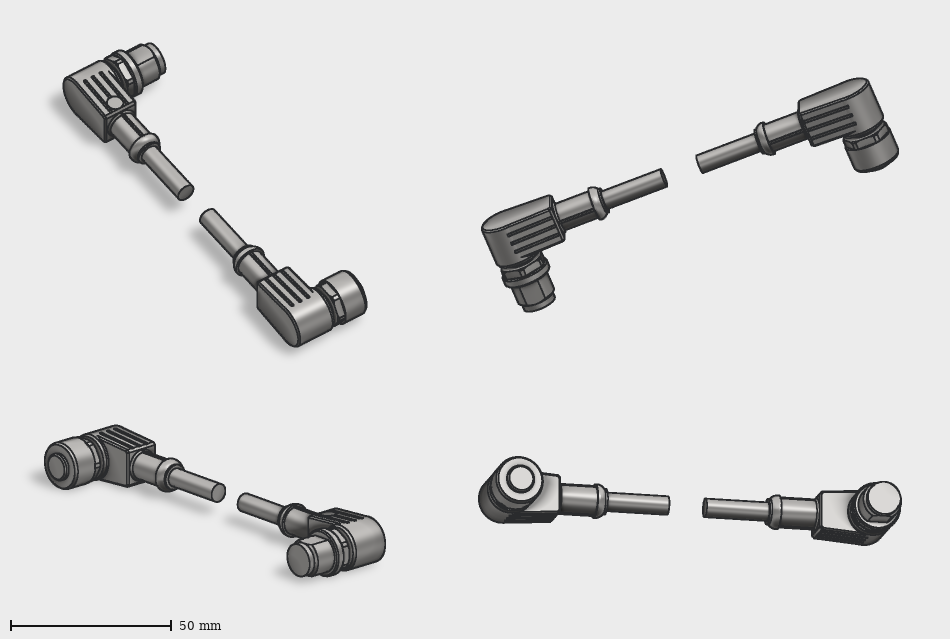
import cadquery as cq
import math


OVERALL_LENGTH = 130.0
OVERALL_DEPTH = 30.3
NUT_RADIUS = 15.0 / 2
CONNECTOR_X = -OVERALL_LENGTH / 2 + NUT_RADIUS
BASE_Y = -OVERALL_DEPTH / 2
CABLE_Y = -9.1

DRUM_RADIUS = 14.7 / 2
DRUM_TOP_Y = -1.5
DRUM_TOP_BEVEL_HEIGHT = 0.9
DRUM_TOP_BEVEL_WIDTH = 0.5
BLOCK_TOP_Y = -3.2
BLOCK_START_OFFSET = 1.5
BLOCK_END_X = -41.3
BLOCK_END_HALF_HEIGHT = 6.1
BLOCK_BEVEL = 0.5
BLOCK_END_BEVEL = 0.8

BLOCK_START_X = CONNECTOR_X + BLOCK_START_OFFSET
BLOCK_START_HALF_HEIGHT = math.sqrt(DRUM_RADIUS**2 - BLOCK_START_OFFSET**2)
BLOCK_TAPER = math.atan2(BLOCK_START_HALF_HEIGHT - BLOCK_END_HALF_HEIGHT, BLOCK_END_X - BLOCK_START_X)

GROOVE_WIDTH = 0.8
GROOVE_DEPTH = 0.3
GROOVE_SPACING = 3.0
GROOVE_START_X = -57.1
GROOVE_END_X = -42.2
MARKER_X = -44.7
MARKER_RADIUS = 5.1 / 2
MARKER_DEPTH = 0.1

CABLE_RADIUS = 5.8 / 2
CABLE_END_X = -6.0
SLEEVE_RADIUS = 4.4
SLEEVE_FLARE = 0.6
COLLAR_RADIUS = 10.5 / 2
COLLAR_START_X = -29.2
COLLAR_RIM_WIDTH = 0.8
NOSE_END_X = -26.5
COLLAR_END_X = -25.9
COLLAR_END_RADIUS = 4.0
COLLAR_BULGE = 0.3
RIB_WIDTH = 0.8
RIB_HALF_HEIGHT = 4.8

NECK_RADIUS = 4.3
HEX_START_Y = -0.1
HEX_END_Y = 2.5
HEX_ACROSS_FLATS = 13.1
HEX_CORNER_RADIUS = 14.4 / 2
HEX_BEVEL = 0.4

RIM_TOP_Y = 5.5
RIM_BEVEL = 0.45
THREAD_RADIUS = 12.1 / 2
THREAD_TOP_Y = 13.1
THREAD_BEVEL_HEIGHT = 0.8
TIP_RADIUS = 5.2
TIP_TOP_Y = OVERALL_DEPTH / 2

NUT_TOP_Y = 10.7
NUT_BEVEL_HEIGHT = 0.9
NUT_BEVEL_WIDTH = 0.5
INSERT_TOP_Y = 12.1
INSERT_BEVEL = 0.5


def upright_cylinder(radius, start_y, end_y):
    """A cylinder about the connector axis."""
    plane = cq.Workplane("XZ", origin=(CONNECTOR_X, start_y, 0))
    return plane.circle(radius).extrude(start_y - end_y)


def drum():
    body = upright_cylinder(DRUM_RADIUS, BASE_Y, DRUM_TOP_Y)
    top_edge = body.faces(">Y").edges()
    return top_edge.chamfer(DRUM_TOP_BEVEL_HEIGHT, DRUM_TOP_BEVEL_WIDTH)


def block():
    return (
        cq.Workplane("XZ", origin=(0, BASE_Y, 0))
        .moveTo(BLOCK_START_X, BLOCK_START_HALF_HEIGHT)
        .lineTo(BLOCK_END_X, BLOCK_END_HALF_HEIGHT)
        .lineTo(BLOCK_END_X, -BLOCK_END_HALF_HEIGHT)
        .lineTo(BLOCK_START_X, -BLOCK_START_HALF_HEIGHT)
        .close()
        .extrude(BASE_Y - BLOCK_TOP_Y)
        .faces(">X").edges("|Y").chamfer(BLOCK_END_BEVEL)
        .faces(">Y").edges("not <X").chamfer(BLOCK_BEVEL)
    )


def sloping_face_plane(side, x):
    """A plane on the block's upper (side 1) or lower (side -1) face, its x running down the taper."""
    fall = (x - BLOCK_START_X) * math.tan(BLOCK_TAPER)
    height = side * (BLOCK_START_HALF_HEIGHT - fall)
    return cq.Plane(
        origin=(x, CABLE_Y, height),
        xDir=(math.cos(BLOCK_TAPER), 0, -side * math.sin(BLOCK_TAPER)),
        normal=(math.sin(BLOCK_TAPER), 0, side * math.cos(BLOCK_TAPER)),
    )


def grooves(side):
    """Three cutters for the parallel grooves on one sloping face."""
    length = (GROOVE_END_X - GROOVE_START_X) / math.cos(BLOCK_TAPER)
    middle = sloping_face_plane(side, (GROOVE_START_X + GROOVE_END_X) / 2)
    return (
        cq.Workplane(middle)
        .rarray(1.3, GROOVE_SPACING, 1, 3)
        .rect(length, GROOVE_WIDTH)
        .extrude(GROOVE_DEPTH, both=True)
    )


def marker(depth):
    """A disc on the upper sloping face, sunk into it by the given depth."""
    face = cq.Workplane(sloping_face_plane(1, MARKER_X))
    return face.circle(MARKER_RADIUS).extrude(-depth)


def housing():
    body = drum().union(block())
    return body.faces("<Y").edges().chamfer(BLOCK_BEVEL)


def cable_and_sleeve():
    """Sleeve with flared root, collar with rounded nose, and cable, turned about the cable axis."""
    rim_end_x = COLLAR_START_X + COLLAR_RIM_WIDTH
    nose_run = NOSE_END_X - rim_end_x
    nose_drop = COLLAR_RADIUS - COLLAR_END_RADIUS
    nose_length = math.hypot(nose_run, nose_drop)
    nose_middle = (
        (rim_end_x + NOSE_END_X) / 2 + COLLAR_BULGE * nose_drop / nose_length,
        (COLLAR_RADIUS + COLLAR_END_RADIUS) / 2 + COLLAR_BULGE * nose_run / nose_length,
    )
    return (
        cq.Workplane("XY", origin=(0, CABLE_Y, 0))
        .moveTo(CONNECTOR_X, 0)
        .lineTo(CONNECTOR_X, SLEEVE_RADIUS)
        .lineTo(BLOCK_END_X, SLEEVE_RADIUS)
        .lineTo(BLOCK_END_X, SLEEVE_RADIUS + SLEEVE_FLARE)
        .radiusArc((BLOCK_END_X + SLEEVE_FLARE, SLEEVE_RADIUS), SLEEVE_FLARE)
        .lineTo(COLLAR_START_X, SLEEVE_RADIUS)
        .lineTo(COLLAR_START_X, COLLAR_RADIUS)
        .lineTo(rim_end_x, COLLAR_RADIUS)
        .threePointArc(nose_middle, (NOSE_END_X, COLLAR_END_RADIUS))
        .lineTo(COLLAR_END_X, COLLAR_END_RADIUS)
        .lineTo(COLLAR_END_X, CABLE_RADIUS)
        .lineTo(CABLE_END_X, CABLE_RADIUS)
        .lineTo(CABLE_END_X, 0)
        .close()
        .revolve(360, (0, 0, 0), (1, 0, 0))
    )


def sleeve_ribs():
    """One bar through the sleeve, leaving a rib along its top and one along its bottom."""
    length = COLLAR_START_X - BLOCK_END_X
    middle_x = (COLLAR_START_X + BLOCK_END_X) / 2
    return cq.Workplane("XY", origin=(middle_x, CABLE_Y, 0)).box(length, RIB_WIDTH, 2 * RIB_HALF_HEIGHT)


def hexagon(first_flat_angle):
    """The hexagonal grip, its corners rounded off by a cylinder and its lower rim bevelled."""
    prism = (
        cq.Workplane("XZ", origin=(CONNECTOR_X, HEX_START_Y, 0))
        .transformed(rotate=(0, 0, first_flat_angle))
        .polygon(6, HEX_ACROSS_FLATS, circumscribed=True)
        .extrude(HEX_START_Y - HEX_END_Y)
    )
    turned = upright_cylinder(HEX_CORNER_RADIUS, HEX_START_Y, HEX_END_Y)
    return prism.intersect(turned.faces("<Y").edges().chamfer(HEX_BEVEL))


def plug_end():
    neck = upright_cylinder(NECK_RADIUS, DRUM_TOP_Y, HEX_START_Y)
    rim = upright_cylinder(NUT_RADIUS, HEX_END_Y, RIM_TOP_Y)
    rim = rim.faces("<Y or >Y").edges().chamfer(RIM_BEVEL)
    thread = upright_cylinder(THREAD_RADIUS, RIM_TOP_Y, THREAD_TOP_Y)
    thread = thread.faces(">Y").edges().chamfer(THREAD_BEVEL_HEIGHT, THREAD_RADIUS - TIP_RADIUS)
    flats = cq.Workplane("XY", origin=(CONNECTOR_X, RIM_TOP_Y, 0)).box(
        2 * THREAD_RADIUS, 2 * THREAD_TOP_Y, 2 * TIP_RADIUS
    )
    thread = thread.intersect(flats)
    tip = upright_cylinder(TIP_RADIUS, THREAD_TOP_Y, TIP_TOP_Y)
    return neck.union(hexagon(0)).union(rim).union(thread).union(tip)


def socket_end():
    neck = upright_cylinder(NECK_RADIUS, DRUM_TOP_Y, HEX_START_Y)
    nut = upright_cylinder(NUT_RADIUS, HEX_END_Y, NUT_TOP_Y)
    nut = nut.faces(">Y").edges().chamfer(NUT_BEVEL_HEIGHT, NUT_BEVEL_WIDTH)
    insert = upright_cylinder(NECK_RADIUS, NUT_TOP_Y, INSERT_TOP_Y)
    insert = insert.faces(">Y").edges().chamfer(INSERT_BEVEL)
    return neck.union(hexagon(90)).union(nut).union(insert)


def grooved_body():
    """Housing, grooves, sleeve and cable: everything but the threaded end."""
    body = housing()
    for side in (1, -1):
        body = body.cut(grooves(side))
    return body.union(cable_and_sleeve()).union(sleeve_ribs())


def plug():
    body = grooved_body().union(marker(GROOVE_DEPTH)).cut(marker(MARKER_DEPTH))
    return body.union(plug_end())


def socket():
    return grooved_body().union(socket_end()).mirror("YZ")


male_plug = plug()
female_socket = socket()

result = cq.Compound.makeCompound([male_plug.val(), female_socket.val()])